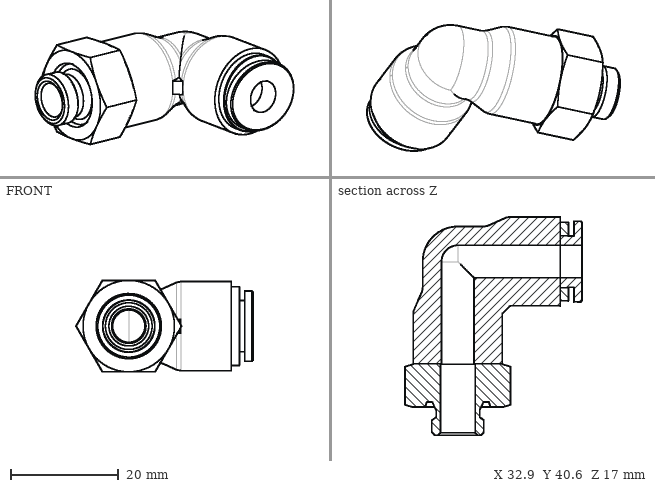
import cadquery as cq
import math


LEG_LENGTH = 19.1
SHOULDER_DIA = 16.6
NECK_DIA = 13.1
TAPER_START = 5.3
TAPER_END = 9.2
TAPER_BLEND_RADIUS = 2.05
PASSAGE_DIA = 6.0
WEB_WIDTH = 2.6
WEB_REACH = 9.65
WEB_ROOT = 5.7

COLLAR_DIA = 14.7
COLLAR_LENGTH = 1.55
COLLAR_EDGE = 0.12

SLEEVE_NECK_DIA = 9.6
SLEEVE_END = 23.1
FLANGE_THICKNESS = 1.55
FLANGE_SIZE_Y = 15.05
FLANGE_SIZE_Z = 13.1
FLANGE_EDGE = 0.25

HEX_SIDES = 6
HEX_ACROSS_FLATS = 17.0
HEX_LENGTH = 8.0
HEX_CORNER_DROP = 0.45
OVERALL_LENGTH = 40.6
STUD_END = OVERALL_LENGTH - SHOULDER_DIA / 2
THREAD_DIA = 9.75
THREAD_LENGTH = 2.85
THREAD_CHAMFER = 0.53
UNDERCUT_DIA = 8.2
RUNOUT_LENGTH = 0.5
FLARE_DIA = 9.6
FLARE_OVERHANG = 0.5
RECESS_DIA = 12.15
RECESS_FLOOR_DIA = 11.55
RECESS_DEPTH = 0.95
STUD_BORE_DIA = 6.4
BORE_MOUTH_DIA = 7.4


def turned(profile):
    """Solid of revolution about X from a list of (station, radius) points."""
    return cq.Workplane("XY").polyline(profile).close().revolve(360, (0, 0, 0), (1, 0, 0))


def rod(diameter, start, end):
    """Cylinder on the X axis between two stations."""
    return cq.Workplane("YZ").workplane(offset=start).circle(diameter / 2).extrude(end - start)


def toward_thread(body):
    """Swing a body from the +X axis onto the -Y axis."""
    return body.rotate((0, 0, 0), (0, 0, 1), -90)


def make_leg():
    neck = NECK_DIA / 2
    shoulder = SHOULDER_DIA / 2
    leg = turned([
        (0, 0),
        (0, neck),
        (TAPER_START, neck),
        (TAPER_END, shoulder),
        (LEG_LENGTH, shoulder),
        (LEG_LENGTH, 0),
    ])
    neck_edge = cq.selectors.NearestToPointSelector((TAPER_START, 0, neck))
    shoulder_edge = cq.selectors.NearestToPointSelector((TAPER_END, 0, shoulder))
    return leg.edges(neck_edge + shoulder_edge).fillet(TAPER_BLEND_RADIUS)


def make_web():
    """Stiffening web in the crook between the two legs."""
    shoulder = SHOULDER_DIA / 2
    return (
        cq.Workplane("XY")
        .polyline([(WEB_ROOT, -WEB_ROOT), (WEB_REACH, -shoulder), (shoulder, -WEB_REACH)])
        .close()
        .extrude(WEB_WIDTH / 2, both=True)
    )


def make_elbow():
    leg = make_leg()
    passage = rod(PASSAGE_DIA, 0, LEG_LENGTH)
    outer_ball = cq.Workplane("XY").sphere(NECK_DIA / 2)
    inner_ball = cq.Workplane("XY").sphere(PASSAGE_DIA / 2)
    outside = leg.union(toward_thread(leg)).union(outer_ball).union(make_web())
    inside = passage.union(toward_thread(passage)).union(inner_ball)
    return outside.cut(inside)


def make_collar():
    end = LEG_LENGTH + COLLAR_LENGTH
    ring = rod(COLLAR_DIA, LEG_LENGTH, end).faces(">X").chamfer(COLLAR_EDGE)
    return ring.cut(rod(SLEEVE_NECK_DIA, LEG_LENGTH, end))


def make_sleeve():
    """The neck passes through the collar and rests on the housing."""
    flange_start = SLEEVE_END - FLANGE_THICKNESS
    flange = (
        cq.Workplane("YZ")
        .workplane(offset=flange_start)
        .ellipse(FLANGE_SIZE_Y / 2, FLANGE_SIZE_Z / 2)
        .extrude(FLANGE_THICKNESS)
        .faces(">X")
        .chamfer(FLANGE_EDGE)
    )
    neck = rod(SLEEVE_NECK_DIA, LEG_LENGTH, flange_start)
    return neck.union(flange).cut(rod(PASSAGE_DIA, LEG_LENGTH, SLEEVE_END))


def make_hexagon():
    """Hexagon with its corners turned off at both ends."""
    end = LEG_LENGTH + HEX_LENGTH
    flat = HEX_ACROSS_FLATS / 2
    corner = flat / math.cos(math.pi / HEX_SIDES)
    prism = cq.Workplane("YZ").workplane(offset=LEG_LENGTH).polygon(HEX_SIDES, 2 * corner).extrude(HEX_LENGTH)
    envelope = turned([
        (LEG_LENGTH, 0),
        (LEG_LENGTH, flat),
        (LEG_LENGTH + HEX_CORNER_DROP, corner),
        (end - HEX_CORNER_DROP, corner),
        (end, flat),
        (end, 0),
    ])
    return prism.intersect(envelope)


def make_recess():
    """Tapered seal recess, leaving a conical flare at the root of the undercut."""
    face = LEG_LENGTH + HEX_LENGTH
    floor = face - RECESS_DEPTH
    flare_end = face + FLARE_OVERHANG
    return turned([
        (face, RECESS_DIA / 2),
        (floor, RECESS_FLOOR_DIA / 2),
        (floor, FLARE_DIA / 2),
        (flare_end, UNDERCUT_DIA / 2),
        (flare_end, RECESS_DIA / 2),
    ])


def make_stud():
    thread = THREAD_DIA / 2
    undercut = UNDERCUT_DIA / 2
    thread_start = STUD_END - THREAD_LENGTH
    flare_end = LEG_LENGTH + HEX_LENGTH + FLARE_OVERHANG
    spigot = turned([
        (LEG_LENGTH, 0),
        (LEG_LENGTH, thread),
        (flare_end, thread),
        (flare_end, undercut),
        (thread_start - RUNOUT_LENGTH, undercut),
        (thread_start, thread),
        (STUD_END - THREAD_CHAMFER, thread),
        (STUD_END, thread - THREAD_CHAMFER),
        (STUD_END, 0),
    ])
    bore = rod(STUD_BORE_DIA, LEG_LENGTH, STUD_END)
    mouth_depth = (BORE_MOUTH_DIA - STUD_BORE_DIA) / 2
    mouth = turned([
        (STUD_END - mouth_depth, 0),
        (STUD_END - mouth_depth, STUD_BORE_DIA / 2),
        (STUD_END, BORE_MOUTH_DIA / 2),
        (STUD_END, 0),
    ])
    stud = make_hexagon().union(spigot).cut(make_recess()).cut(bore).cut(mouth)
    return toward_thread(stud)


elbow = make_elbow()
collar = make_collar()
sleeve = make_sleeve()
stud = make_stud()

result = cq.Compound.makeCompound([elbow.val(), collar.val(), sleeve.val(), stud.val()])